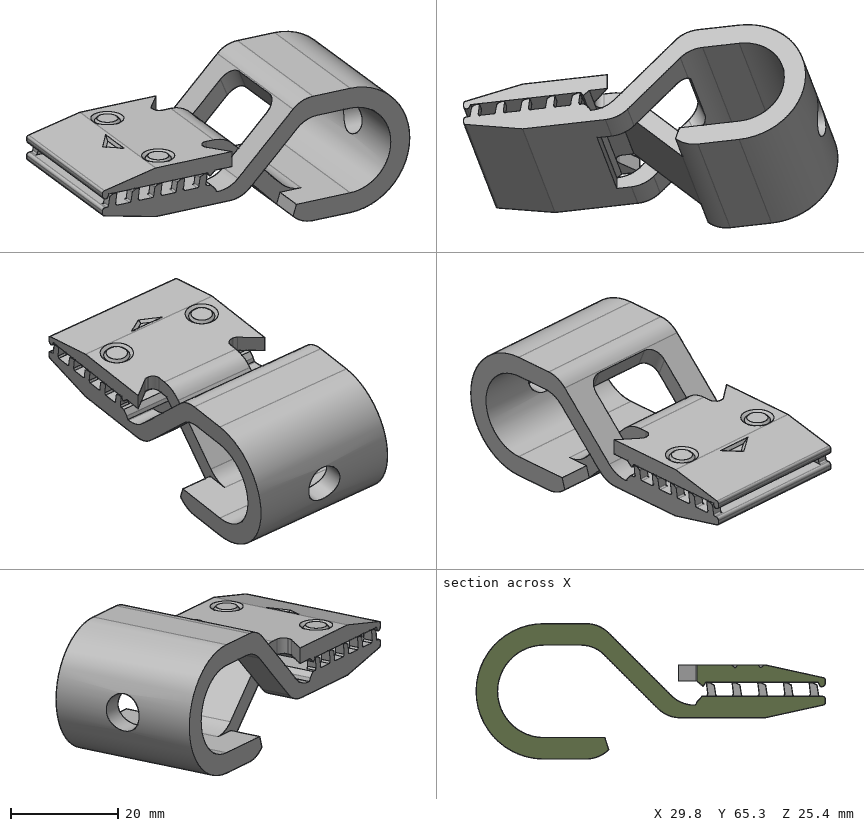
import cadquery as cq
import math

SAME_POINT = 6.53e-07

LENGTH = 65.3
WIDTH = 29.8
HEIGHT = 25.35

LOOP_R = HEIGHT / 2
LOOP_WALL = 4.05
LOOP_INNER_R = LOOP_R - LOOP_WALL
BEND_R = 6.0
BEND_ANGLE = 45
ARM_INNER_CROSS = 18.1
ARM_OUTER_CROSS = 23.05
ARM_WIDTH = 16.85
WINDOW_WIDTH = 18.0
WINDOW_CORNER_R = 3.0
WINDOW_TOP_Y = -12.35
LIP_SETBACK = 0.7
REAR_HOLE_R = 3.65

TIP_Y = LOOP_R - LENGTH
JAW_Z = 4.95
TAPER_Y = -41.35
TIP_Z = 2.5
TIP_R = 0.5
HOOK_Z = 0.85
HOOK_R = 0.7
HOOK_HEEL_R = 0.3
HOOK_BOTTOM_Y = -51.7
HOOK_ROOT_Y = -51.3
UPPER_FACE_Z = 1.7
BARB_FRONT_Y = -30.3
BARB_Y = -29.8
BARB_Z = 0.9
THROAT_Z = 1.9
LOWER_FACE_Z = -0.9
LOWER_FACE_Y = -29.6
SCOOP_Z = -2.55
SCOOP_END_Y = -28.35
SCOOP_RAMP_Y = -28.7
SCOOP_RAMP_Z = -1.9
NOSE_R = 0.6
WING_Y = -25.15
SLOT_END_Y = -28.6
SLOT_R = 1.45
SLOT_CORNER_X = 10.5
SLOT_CORNER_R = 1.3

TOOTH_COUNT = 5
TOOTH_ROW = 19.2
TOOTH_PITCH = TOOTH_ROW / (TOOTH_COUNT - 1)
FIRST_TOOTH_Y = -32.2
TOOTH_THICKNESS = 1.6
TOOTH_TOP_Z = 1.6
TOOTH_CREST = 1.05
TOOTH_BROW_DROP = 0.4
TOOTH_BROW_R = 0.25
TOOTH_BACK_LEAN = 0.25
TOOTH_FRONT_LEAN = 0.3
TOOTH_FOOT_R = 0.3
TOOTH_BACK_FOOT = 0.25
TOOTH_BACK_FOOT_HEIGHT = 0.4
TOOTH_ROOT = 0.3
TOOTH_INNER_X = 13.0

RING_X = 10.0
RING_Y = -38.15
RING_OUTER_R = 6.2 / 2
RING_BOTTOM_R = 4.9 / 2
RING_INNER_R = 4.0 / 2
MARK_DEPTH = 0.5
ARROW_BASE = 7.25
ARROW_LENGTH = 2.6
ARROW_OFFSET = 0.65
MARK_DRAFT = 45


def rounded_outline(plane, corners):
    """Closed wire through (a, b, radius) corners; radius 0 leaves a sharp corner."""
    stations = []
    for i, (a, b, radius) in enumerate(corners):
        corner = cq.Vector(a, b)
        if radius == 0:
            stations.append((corner, None, corner))
            continue
        before = cq.Vector(*corners[i - 1][:2])
        after = cq.Vector(*corners[(i + 1) % len(corners)][:2])
        to_before = (before - corner).normalized()
        to_after = (after - corner).normalized()
        half_angle = to_before.getAngle(to_after) / 2
        reach = radius / math.tan(half_angle)
        to_arc = radius / math.sin(half_angle) - radius
        middle = corner + (to_before + to_after).normalized() * to_arc
        stations.append((corner + to_before * reach, middle, corner + to_after * reach))

    start = stations[0][0]
    wire = cq.Workplane(plane).moveTo(start.x, start.y)
    here = start
    for entry, middle, leave in stations:
        if (entry - here).Length > SAME_POINT:
            wire = wire.lineTo(entry.x, entry.y)
        if middle is not None:
            wire = wire.threePointArc((middle.x, middle.y), (leave.x, leave.y))
        here = leave
    return wire.close()


def side_prism(corners, x_start, x_end):
    """Prism along X over an outline of (y, z, radius) corners."""
    return rounded_outline("YZ", corners).extrude(x_end - x_start).translate((x_start, 0, 0))


def loop_and_lower_jaw():
    """Full-width band: cut end below, round back, upper arm and lower jaw."""
    outer_bend_y = LOOP_R - ARM_OUTER_CROSS
    inner_bend_y = LOOP_INNER_R - ARM_INNER_CROSS
    jaw_bend_y = -JAW_Z - ARM_INNER_CROSS
    bend_reach = BEND_R * math.tan(math.radians(BEND_ANGLE / 2))
    lip_y = outer_bend_y - bend_reach * math.cos(math.radians(BEND_ANGLE))
    lip_z = -LOOP_R + bend_reach * math.sin(math.radians(BEND_ANGLE))
    corners = [
        (LOOP_R, -LOOP_R, LOOP_R),
        (LOOP_R, LOOP_R, LOOP_R),
        (outer_bend_y, LOOP_R, BEND_R),
        (SCOOP_Z - ARM_OUTER_CROSS, SCOOP_Z, BEND_R),
        (SCOOP_END_Y, SCOOP_Z, 0),
        (SCOOP_RAMP_Y, SCOOP_RAMP_Z, 0),
        (LOWER_FACE_Y, LOWER_FACE_Z, 0),
        (TIP_Y, LOWER_FACE_Z, NOSE_R),
        (TIP_Y, -TIP_Z, TIP_R),
        (TAPER_Y, -JAW_Z, 0),
        (jaw_bend_y, -JAW_Z, BEND_R),
        (inner_bend_y, LOOP_INNER_R, BEND_R),
        (LOOP_INNER_R, LOOP_INNER_R, LOOP_INNER_R),
        (LOOP_INNER_R, -LOOP_INNER_R, LOOP_INNER_R),
        (lip_y + LIP_SETBACK, -LOOP_INNER_R, 0),
        (lip_y, lip_z, 0),
        (outer_bend_y, -LOOP_R, BEND_R),
    ]
    return side_prism(corners, -WIDTH / 2, WIDTH / 2)


def narrow_arm():
    """Arm that rises from the bottom of the loop, through the window, to the upper jaw."""
    corners = [
        (0, -LOOP_INNER_R, 0),
        (LOOP_INNER_R - ARM_INNER_CROSS, -LOOP_INNER_R, BEND_R),
        (-JAW_Z - ARM_INNER_CROSS, JAW_Z, BEND_R),
        (SLOT_END_Y, JAW_Z, 0),
        (SLOT_END_Y, THROAT_Z, 0),
        (-THROAT_Z - ARM_OUTER_CROSS, THROAT_Z, 0),
        (LOOP_R - ARM_OUTER_CROSS, -LOOP_R, BEND_R),
        (0, -LOOP_R, 0),
    ]
    return side_prism(corners, -ARM_WIDTH / 2, ARM_WIDTH / 2)


def upper_jaw():
    """Jaw with two pointed wings that flank the narrow arm behind rounded slots."""
    corners = [
        (WING_Y, JAW_Z, 0),
        (TAPER_Y, JAW_Z, 0),
        (TIP_Y, TIP_Z, TIP_R),
        (TIP_Y, HOOK_Z, HOOK_R),
        (HOOK_BOTTOM_Y, HOOK_Z, HOOK_HEEL_R),
        (HOOK_ROOT_Y, UPPER_FACE_Z, 0),
        (BARB_FRONT_Y, UPPER_FACE_Z, 0),
        (BARB_Y, BARB_Z, 0),
        (SLOT_END_Y, THROAT_Z, 0),
        (WING_Y, THROAT_Z, 0),
    ]
    half_plan = [
        (ARM_WIDTH / 2, SLOT_END_Y + SLOT_R, 0),
        (ARM_WIDTH / 2, SLOT_END_Y, SLOT_R),
        (SLOT_CORNER_X, SLOT_END_Y, SLOT_CORNER_R),
        (WIDTH / 2, WING_Y, 0),
        (WIDTH / 2, TIP_Y, 0),
    ]
    mirrored = [(-x, y, r) for x, y, r in reversed(half_plan)]
    plan = rounded_outline("XY", half_plan + mirrored).extrude(LOOP_R, both=True)
    return side_prism(corners, -WIDTH / 2, WIDTH / 2).intersect(plan)


def window():
    """Opening for the narrow arm: tilted at the rear, upright at the front."""
    rear = (
        cq.Workplane("XY")
        .box(WINDOW_WIDTH, LOOP_R, 1.5 * LOOP_R, centered=(True, False, True))
        .edges("|Z and >Y").fillet(WINDOW_CORNER_R)
        .translate((0, -LOOP_R, 0))
        .rotate((0, 0, 0), (1, 0, 0), BEND_ANGLE / 2)
        .translate((0, WINDOW_TOP_Y, ARM_OUTER_CROSS + WINDOW_TOP_Y))
    )
    front_length = -ARM_INNER_CROSS - SCOOP_END_Y
    front = (
        cq.Workplane("XY")
        .box(WINDOW_WIDTH, front_length, HEIGHT, centered=(True, False, True))
        .translate((0, SCOOP_END_Y, 0))
    )
    return rear.union(front)


def rear_hole():
    """Round hole along Y through the back of the loop."""
    return cq.Workplane("XZ").circle(REAR_HOLE_R).extrude(-LENGTH)


def tooth(front_y):
    """One tooth on the +X side, leaning toward the arms."""
    root_z = LOWER_FACE_Z - TOOTH_ROOT
    back_y = front_y + TOOTH_THICKNESS
    corners = [
        (back_y + TOOTH_BACK_FOOT, root_z, 0),
        (back_y + TOOTH_BACK_FOOT, LOWER_FACE_Z, 0),
        (back_y, LOWER_FACE_Z + TOOTH_BACK_FOOT_HEIGHT, 0),
        (back_y + TOOTH_BACK_LEAN, TOOTH_TOP_Z, 0),
        (front_y + TOOTH_CREST, TOOTH_TOP_Z, 0),
        (front_y + TOOTH_FRONT_LEAN, TOOTH_TOP_Z - TOOTH_BROW_DROP, TOOTH_BROW_R),
        (front_y, LOWER_FACE_Z, TOOTH_FOOT_R),
        (front_y - TOOTH_FOOT_R, LOWER_FACE_Z, 0),
        (front_y - TOOTH_FOOT_R, root_z, 0),
    ]
    return side_prism(corners, TOOTH_INNER_X, WIDTH / 2)


def ring_groove(x):
    """V-shaped ring cut into the top face."""
    section = [(RING_OUTER_R, 0), (RING_BOTTOM_R, -MARK_DEPTH), (RING_INNER_R, 0)]
    ring = cq.Workplane("XZ").polyline(section).close().revolve(360, (0, 0, 0), (0, 1, 0))
    return ring.translate((x, RING_Y, JAW_Z))


def arrow():
    """Triangular pocket on the tapered face, pointing to the tip."""
    slope = math.atan2(JAW_Z - TIP_Z, TAPER_Y - TIP_Y)
    face = cq.Plane(
        origin=(0, TAPER_Y, JAW_Z), xDir=(1, 0, 0), normal=(0, -math.sin(slope), math.cos(slope))
    )
    triangle = [
        (-ARROW_BASE / 2, -ARROW_OFFSET),
        (ARROW_BASE / 2, -ARROW_OFFSET),
        (0, -ARROW_OFFSET - ARROW_LENGTH),
    ]
    return cq.Workplane(face).polyline(triangle).close().extrude(-MARK_DEPTH, taper=MARK_DRAFT)


result = loop_and_lower_jaw().cut(window()).cut(rear_hole())
for number in range(TOOTH_COUNT):
    side_tooth = tooth(FIRST_TOOTH_Y - number * TOOTH_PITCH)
    result = result.union(side_tooth).union(side_tooth.mirror("YZ"))

upper = narrow_arm().union(upper_jaw()).cut(arrow())
for ring_x in (-RING_X, RING_X):
    upper = upper.cut(ring_groove(ring_x))
result = result.union(upper)